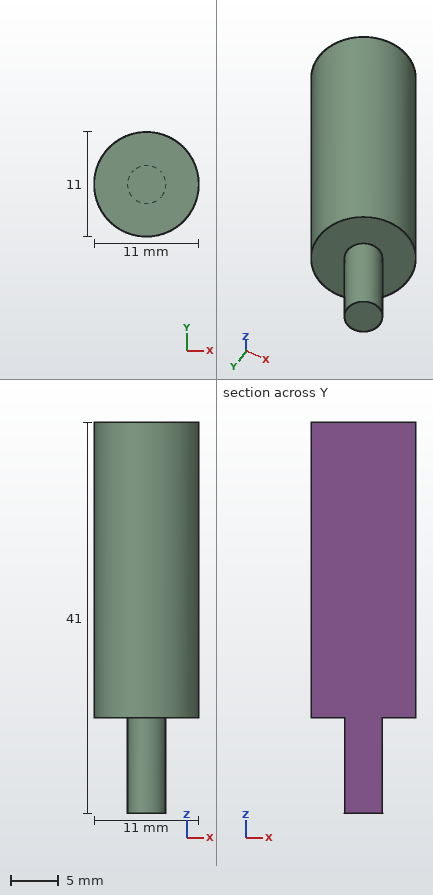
import cadquery as cq

body_diameter = 11.0
overall_length = 41.0
pin_diameter = 4.0
pin_length = 10.0
body_length = overall_length - pin_length


def make_body():
    """Main cylinder, standing on the XY plane."""
    return cq.Workplane("XY").circle(body_diameter / 2).extrude(body_length)


def make_pin():
    """Coaxial pin hanging below the body."""
    return cq.Workplane("XY").circle(pin_diameter / 2).extrude(-pin_length)


result = make_body().union(make_pin())